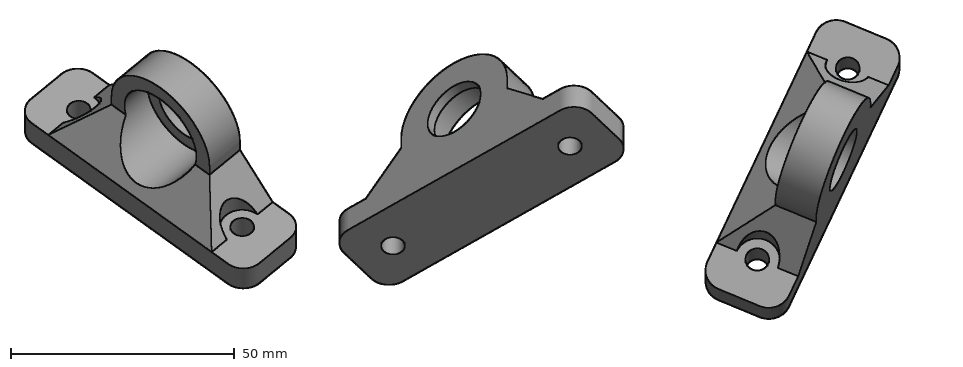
import cadquery as cq

base_length = 70.0
base_width = 20.0
base_height = 7.0
corner_radius = 5.0

eye_radius = 15.0
eye_width = base_width / 2
axis_height = 20.0
back_y = base_width / 2
front_y = -base_width / 2
eye_front_y = back_y - eye_width
bore_diameter = 15.0
seat_diameter = 22.0
seat_depth = 7.5
seat_floor_y = eye_front_y + seat_depth

pedestal_height = 10.0
pedestal_top = base_height + pedestal_height
pedestal_half_length = eye_radius + pedestal_height

hole_diameter = 5.3
hole_offset = 25.0
head_clearance_diameter = 10.0


def make_base():
    plate = cq.Workplane("XY").box(base_length, base_width, base_height, centered=(True, True, False))
    return plate.edges("|Z").fillet(corner_radius)


def make_pedestal():
    """Trapezoid along the length, trimmed by the sloped front face."""
    length_profile = (
        cq.Workplane("XZ", origin=(0, back_y, 0))
        .moveTo(-pedestal_half_length, base_height)
        .lineTo(pedestal_half_length, base_height)
        .lineTo(eye_radius, pedestal_top)
        .lineTo(-eye_radius, pedestal_top)
        .close()
        .extrude(base_width)
    )
    width_profile = (
        cq.Workplane("YZ")
        .moveTo(front_y, base_height)
        .lineTo(back_y, base_height)
        .lineTo(back_y, pedestal_top)
        .lineTo(eye_front_y, pedestal_top)
        .close()
        .extrude(pedestal_half_length, both=True)
    )
    return length_profile.intersect(width_profile)


def make_eye():
    """Round-topped eye with straight sides running down to the base."""
    return (
        cq.Workplane("XZ", origin=(0, back_y, 0))
        .moveTo(-eye_radius, base_height)
        .lineTo(eye_radius, base_height)
        .lineTo(eye_radius, axis_height)
        .threePointArc((0, axis_height + eye_radius), (-eye_radius, axis_height))
        .close()
        .extrude(eye_width)
    )


def cylinder_along_y(diameter, start_y, end_y):
    """Cylinder on the eye axis, running from start_y towards -Y as far as end_y."""
    return (
        cq.Workplane("XZ", origin=(0, start_y, axis_height))
        .circle(diameter / 2)
        .extrude(start_y - end_y)
    )


def cut_bearing_seat(body):
    bore = cylinder_along_y(bore_diameter, back_y, front_y)
    seat = cylinder_along_y(seat_diameter, seat_floor_y, front_y)
    return body.cut(bore).cut(seat)


def cut_mounting_hole(body, x):
    hole = cq.Workplane("XY").center(x, 0).circle(hole_diameter / 2).extrude(base_height)
    head_clearance = (
        cq.Workplane("XY", origin=(x, 0, base_height))
        .circle(head_clearance_diameter / 2)
        .extrude(pedestal_height)
    )
    return body.cut(hole).cut(head_clearance)


result = make_base().union(make_pedestal()).union(make_eye())
result = cut_bearing_seat(result)
for hole_x in (-hole_offset, hole_offset):
    result = cut_mounting_hole(result, hole_x)